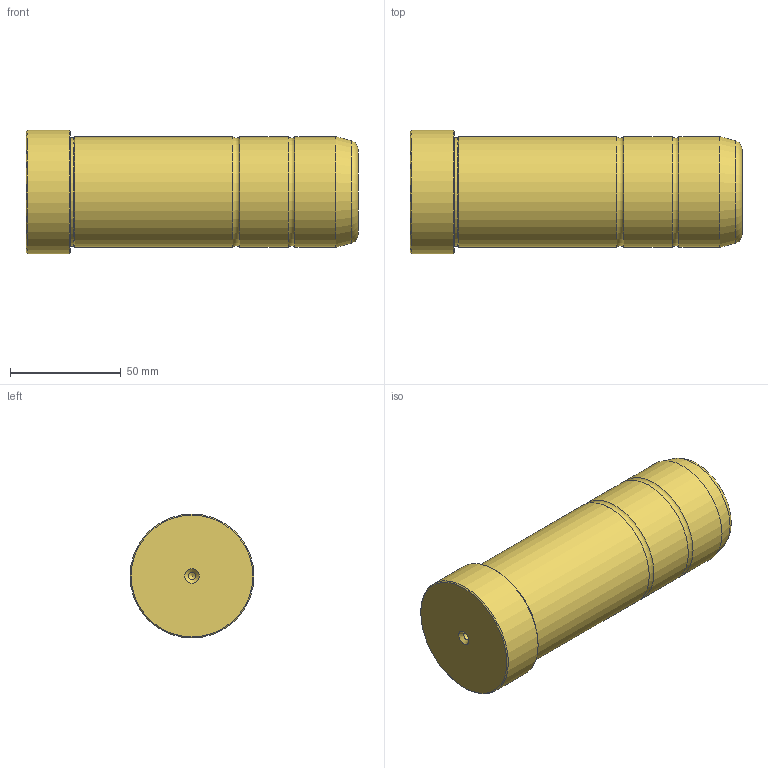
import cadquery as cq
import math

total_length = 150.0
head_radius = 28.0
head_length = 20.0
head_chamfer = 0.5
shaft_radius = 25.0

relief_depth = 0.5
relief_floor_length = 1.5
relief_ramp_length = 0.5

groove_centers = (95.0, 120.0)
groove_width = 3.0
groove_depth = 0.7

taper_length = 10.0
taper_angle = 15.0
nose_radius = 4.0

countersink_diameter = 6.5
countersink_angle = 90.0
pilot_diameter = 3.3
pilot_end_depth = 10.0
drill_tip_angle = 118.0


def cone_depth(radius_change, included_angle):
    """Axial length over which a cone changes radius by the given amount."""
    return radius_change / math.tan(math.radians(included_angle / 2))


def make_head():
    head = cq.Workplane("YZ").circle(head_radius).extrude(head_length)
    return head.edges().chamfer(head_chamfer)


def make_shaft():
    """Shaft with its head-side relief and the tapered lead-in, revolved about X."""
    relief_radius = shaft_radius - relief_depth
    relief_floor_end = head_length + relief_floor_length
    relief_end = relief_floor_end + relief_ramp_length
    taper_start = total_length - taper_length

    taper = math.radians(taper_angle)
    nose_center_x = total_length - nose_radius
    nose_start_x = nose_center_x + nose_radius * math.sin(taper)
    nose_start_r = shaft_radius - (nose_start_x - taper_start) * math.tan(taper)
    nose_center_r = nose_start_r - nose_radius * math.cos(taper)
    middle = math.radians((90 + taper_angle) / 2)
    nose_middle = (
        nose_center_x + nose_radius * math.sin(middle),
        nose_center_r + nose_radius * math.cos(middle),
    )

    profile = (
        cq.Workplane("XZ")
        .moveTo(head_length / 2, 0)
        .lineTo(head_length / 2, relief_radius)
        .lineTo(relief_floor_end, relief_radius)
        .lineTo(relief_end, shaft_radius)
        .lineTo(taper_start, shaft_radius)
        .lineTo(nose_start_x, nose_start_r)
        .threePointArc(nose_middle, (total_length, nose_center_r))
        .lineTo(total_length, 0)
        .close()
    )
    return profile.revolve(360, (0, 0, 0), (1, 0, 0))


def make_groove_cutter(center_x):
    """Ring of circular section that cuts one groove into the shaft."""
    groove_radius = (groove_width**2 / 4 + groove_depth**2) / (2 * groove_depth)
    ring_radius = shaft_radius - groove_depth + groove_radius
    section = cq.Workplane("XZ").center(center_x, ring_radius).circle(groove_radius)
    return section.revolve(360, (0, -ring_radius, 0), (1, -ring_radius, 0))


def make_end_hole_cutter():
    """Countersink, pilot bore and drill tip, revolved about X."""
    countersink_radius = countersink_diameter / 2
    pilot_radius = pilot_diameter / 2
    countersink_depth = cone_depth(countersink_radius - pilot_radius, countersink_angle)
    tip_depth = pilot_end_depth + cone_depth(pilot_radius, drill_tip_angle)
    profile = (
        cq.Workplane("XZ")
        .lineTo(0, countersink_radius)
        .lineTo(countersink_depth, pilot_radius)
        .lineTo(pilot_end_depth, pilot_radius)
        .lineTo(tip_depth, 0)
        .close()
    )
    return profile.revolve(360, (0, 0, 0), (1, 0, 0))


result = make_head().union(make_shaft())
for groove_center in groove_centers:
    result = result.cut(make_groove_cutter(groove_center))
result = result.cut(make_end_hole_cutter())